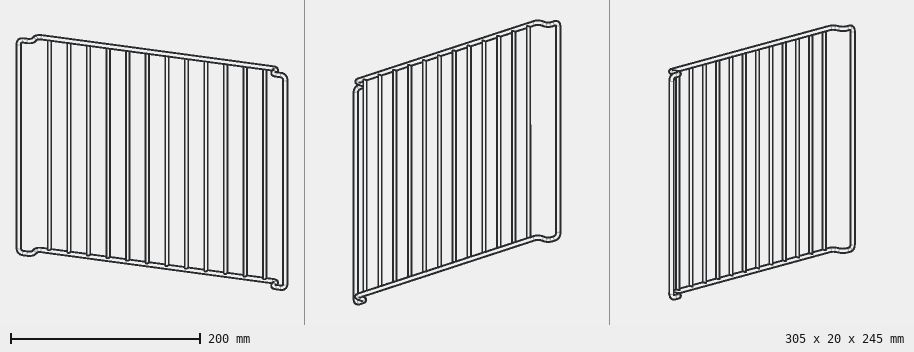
import cadquery as cq
import math

length = 305.0
height = 245.0
depth = 20.0

frame_diameter = 5.0
rod_diameter = 4.0
bend_radius = frame_diameter
bend_setback = bend_radius * (1 - math.sqrt(0.5))

rod_count = 12
rod_span = 242.5
rod_pitch = rod_span / (rod_count - 1)

half_length = (length - frame_diameter) / 2
half_height = (height - frame_diameter) / 2
rear_y = (depth - frame_diameter) / 2
front_y = -rear_y
jog_inset = 15.0
jog_x = half_length - jog_inset
corner_x = half_length - bend_radius
corner_z = half_height - bend_radius


def sweep_wire(path, start, direction):
    """Sweep the round frame wire along a path from its start point."""
    profile_plane = cq.Plane(origin=start, normal=direction)
    return cq.Workplane(profile_plane).circle(frame_diameter / 2).sweep(path)


def make_rail(z):
    """Horizontal rail, jogged from the front plane to the rear plane at both ends."""
    r = bend_radius
    k = bend_setback
    path = (
        cq.Workplane("XY", origin=(0, 0, z))
        .moveTo(-corner_x, front_y)
        .lineTo(-jog_x - r, front_y)
        .threePointArc((-jog_x - k, front_y + k), (-jog_x, front_y + r))
        .lineTo(-jog_x, rear_y - r)
        .threePointArc((-jog_x + k, rear_y - k), (-jog_x + r, rear_y))
        .lineTo(jog_x - r, rear_y)
        .threePointArc((jog_x - k, rear_y - k), (jog_x, rear_y - r))
        .lineTo(jog_x, front_y + r)
        .threePointArc((jog_x + k, front_y + k), (jog_x + r, front_y))
        .lineTo(corner_x, front_y)
    )
    return sweep_wire(path, (-corner_x, front_y, z), (1, 0, 0))


def make_end_bar(side):
    """Upright end bar with a bend at each end; side is -1 (left) or 1 (right)."""
    k = bend_setback
    bar_x = side * half_length
    middle_x = side * (half_length - k)
    end_x = side * corner_x
    path = (
        cq.Workplane("XZ", origin=(0, front_y, 0))
        .moveTo(end_x, -half_height)
        .threePointArc((middle_x, -half_height + k), (bar_x, -corner_z))
        .lineTo(bar_x, corner_z)
        .threePointArc((middle_x, half_height - k), (end_x, half_height))
    )
    return sweep_wire(path, (end_x, front_y, -half_height), (side, 0, 0))


def make_rods():
    """Evenly spaced upright rods ending on the rail centrelines."""
    return (
        cq.Workplane("XY", origin=(0, rear_y, -half_height))
        .rarray(rod_pitch, 3, rod_count, 1)
        .circle(rod_diameter / 2)
        .extrude(2 * half_height)
    )


result = make_rail(half_height).union(make_rail(-half_height))
for bar_side in (-1, 1):
    result = result.union(make_end_bar(bar_side))
result = result.union(make_rods())